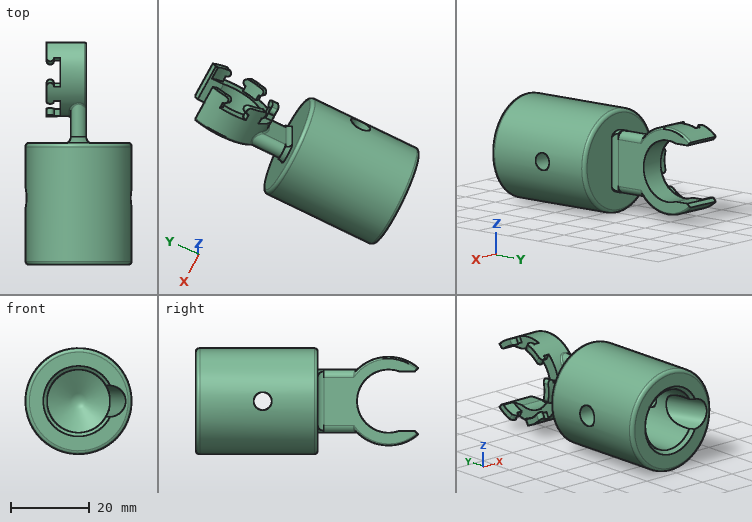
import cadquery as cq
import math

body_diameter = 27.0
body_length = 31.0
body_edge_radius = 0.95
bore_diameter = 16.0
bore_radius = bore_diameter / 2
bore_depth = 22.6
bore_tip_angle = 118.0
mouth_chamfer = 0.95
cross_hole_diameter = 4.5
cross_hole_wide_diameter = 5.5
cross_hole_y = 17.0

groove_radius = 4.0
groove_reach = 11.95
groove_tilt = 20.0
groove_length = 33.9

total_length = 56.45
ring_outer_radius = 11.3
ring_inner_diameter = 16.0
ring_inner_radius = ring_inner_diameter / 2
ring_edge_radius = 0.5
jaw_half_gap = 7.5
jaw_inner_reach = 6.6

tooth_inner_radius = 9.6
tooth_half_width = 2.15
tooth_length = 3.45
tooth_bead_radius = 0.95
tooth_spacing = 60.0

arm_thickness = 3.95
arm_width = 16.1
arm_fillet = 0.45
flare_length = 1.5
flare_overhang = 0.85

arm_half = arm_thickness / 2
ring_right_x = arm_half
ring_left_x = -4.7
teeth_left_x = ring_left_x - tooth_length

jaw_offset = jaw_half_gap - jaw_inner_reach
jaw_tip_reach = (math.sqrt(2 * ring_outer_radius**2 - jaw_offset**2) - jaw_offset) / 2
jaw_tip_z = jaw_tip_reach + jaw_offset
jaw_flat_start = math.sqrt(ring_inner_radius**2 - jaw_half_gap**2)
ring_y = total_length - jaw_tip_reach


def ring_plane(x):
    """YZ plane at the given x, centred on the ring axis."""
    return cq.Workplane("YZ", origin=(x, ring_y, 0))


def open_ring(inner_radius, left_x, right_x):
    """Open ring with flat inner jaws and 45 degree jaw ends."""
    ring = (
        ring_plane(left_x)
        .moveTo(jaw_tip_reach, jaw_tip_z)
        .threePointArc((-ring_outer_radius, 0), (jaw_tip_reach, -jaw_tip_z))
        .lineTo(jaw_inner_reach, -jaw_half_gap)
        .lineTo(jaw_flat_start, -jaw_half_gap)
        .threePointArc((-ring_inner_radius, 0), (jaw_flat_start, jaw_half_gap))
        .lineTo(jaw_inner_reach, jaw_half_gap)
        .close()
        .extrude(right_x - left_x)
    )
    if inner_radius > ring_inner_radius:
        ring = ring.cut(ring_plane(left_x).circle(inner_radius).extrude(right_x - left_x))
    return ring


def tooth_block(angle, to_jaw_end):
    """Tooth with a bead along each side; an end tooth runs on past the jaw end instead."""
    bead_x = teeth_left_x + tooth_bead_radius
    far_side = ring_outer_radius if to_jaw_end else tooth_half_width
    depth = ring_outer_radius + tooth_bead_radius
    tooth = (
        cq.Workplane("XZ")
        .moveTo(teeth_left_x, -tooth_half_width)
        .lineTo(ring_left_x, -tooth_half_width)
        .lineTo(ring_left_x, far_side)
        .lineTo(teeth_left_x, far_side)
        .close()
        .extrude(depth)
    )
    bead_sides = [-1] if to_jaw_end else [-1, 1]
    for side in bead_sides:
        bead = cq.Workplane("XZ").center(bead_x, side * tooth_half_width).circle(tooth_bead_radius)
        tooth = tooth.union(bead.extrude(depth))
    return tooth.rotate((0, 0, 0), (1, 0, 0), angle).translate((0, ring_y, 0))


def make_teeth():
    band = open_ring(tooth_inner_radius, teeth_left_x, ring_left_x)
    blocks = tooth_block(0, False)
    for angle in (-tooth_spacing, tooth_spacing):
        blocks = blocks.union(tooth_block(angle, False))
    end_tooth = tooth_block(-2 * tooth_spacing, True)
    blocks = blocks.union(end_tooth).union(end_tooth.mirror("XY"))
    return band.intersect(blocks)


def make_arm():
    """Flat arm with rounded long edges, stopped inside the ring wall."""
    arm = (
        cq.Workplane("XZ", origin=(0, body_length, 0))
        .slot2D(arm_width, arm_thickness, 90)
        .extrude(body_length - ring_y)
    )
    return arm.cut(ring_plane(-arm_thickness).circle(tooth_inner_radius).extrude(2 * arm_thickness))


def make_flare():
    """Concave widening of the arm's two flat sides where it meets the body."""
    root_x = arm_half + flare_overhang
    top_y = body_length + flare_length
    curve_radius = (flare_length**2 + flare_overhang**2) / (2 * flare_overhang)
    profile = (
        cq.Workplane("XY", origin=(0, 0, -arm_width / 2))
        .moveTo(-root_x, body_length)
        .lineTo(root_x, body_length)
        .radiusArc((arm_half, top_y), curve_radius)
        .lineTo(-arm_half, top_y)
        .radiusArc((-root_x, body_length), curve_radius)
        .close()
        .extrude(arm_width)
    )
    straight_z = arm_width / 2 - arm_half
    middle = cq.Workplane("XZ", origin=(0, body_length, 0)).rect(2 * root_x, 2 * straight_z)
    envelope = middle.extrude(-flare_length)
    for end_z in (-straight_z, straight_z):
        end = cq.Workplane("XZ", origin=(0, body_length, end_z)).ellipse(root_x, arm_half)
        envelope = envelope.union(end.extrude(-flare_length))
    return profile.intersect(envelope)


def make_clip():
    """Ring with a rounded +X outer edge, joined to the arm by a fillet."""
    ring = open_ring(ring_inner_radius, ring_left_x, ring_right_x)
    outer_edge = ring.faces(">X").edges(cq.selectors.RadiusNthSelector(-1))
    ring = outer_edge.fillet(ring_edge_radius)
    margin = 0.05
    joint = cq.selectors.BoxSelector(
        (-arm_half - margin, ring_y - ring_outer_radius - margin, -arm_width / 2),
        (arm_half - margin, ring_y - ring_inner_radius, arm_width / 2),
    )
    return ring.union(make_arm()).edges(joint).fillet(arm_fillet)


def make_body():
    body = cq.Workplane("XZ").circle(body_diameter / 2).extrude(-body_length)
    return body.edges().fillet(body_edge_radius)


def make_bore():
    tip_y = bore_depth + bore_radius / math.tan(math.radians(bore_tip_angle / 2))
    return (
        cq.Workplane("XY")
        .moveTo(0, 0)
        .lineTo(bore_radius + mouth_chamfer, 0)
        .lineTo(bore_radius, mouth_chamfer)
        .lineTo(bore_radius, bore_depth)
        .lineTo(0, tip_y)
        .close()
        .revolve(360, (0, 0, 0), (0, 1, 0))
    )


def make_groove():
    tilt = math.radians(groove_tilt)
    centre_x = groove_reach - groove_radius / math.cos(tilt)
    inward = cq.Vector(-math.sin(tilt), math.cos(tilt), 0)
    start = cq.Vector(centre_x, 0, 0) - inward * (groove_length / 2)
    return cq.Workplane(cq.Solid.makeCylinder(groove_radius, groove_length, start, inward))


def make_cross_hole():
    """Hole along X that is wider through the -X wall than through the +X wall."""
    plane = cq.Workplane("YZ", origin=(0, cross_hole_y, 0))
    wide_side = plane.circle(cross_hole_wide_diameter / 2).extrude(-body_diameter)
    narrow_side = plane.circle(cross_hole_diameter / 2).extrude(body_diameter)
    return wide_side.union(narrow_side)


result = (
    make_body()
    .union(make_clip())
    .union(make_teeth())
    .union(make_flare())
    .cut(make_bore())
    .cut(make_groove())
    .cut(make_cross_hole())
)